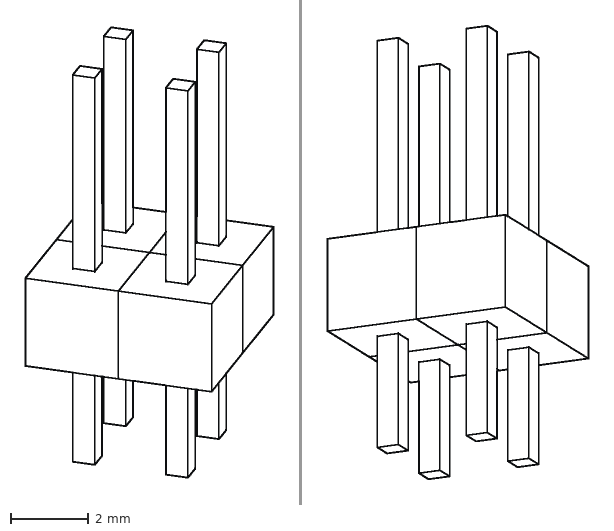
import cadquery as cq

pitch = 2.54
columns = 2
rows = 2
pin_side = 0.6
tail_length = 3.0
block_height = 2.5
pin_length = 11.0


def make_block(x, y):
    """Square housing block with a through hole that fits its pin."""
    return (
        cq.Workplane("XY", origin=(x, y, tail_length))
        .rect(pitch, pitch)
        .rect(pin_side, pin_side)
        .extrude(block_height)
    )


def make_pin(x, y):
    """Straight square pin standing through a housing block."""
    return cq.Workplane("XY", origin=(x, y, 0)).rect(pin_side, pin_side).extrude(pin_length)


bodies = []
for column in range(columns):
    for row in range(rows):
        x = (column - (columns - 1) / 2) * pitch
        y = (row - (rows - 1) / 2) * pitch
        bodies.append(make_block(x, y).val())
        bodies.append(make_pin(x, y).val())

result = cq.Compound.makeCompound(bodies)